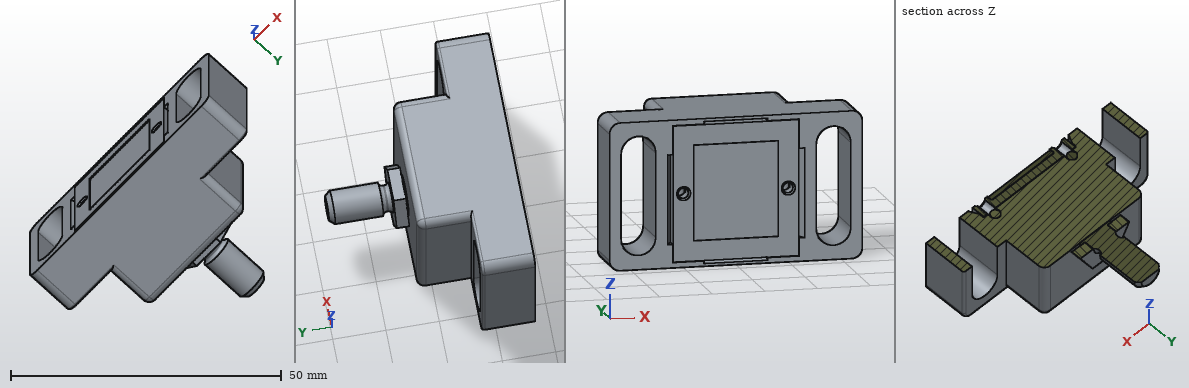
import cadquery as cq
import math


LENGTH = 48.0
HEIGHT = 28.0
FLANGE_DEPTH = 10.0
FLANGE_CORNER_RADIUS = 2.0
FLANGE_EDGE_RADIUS = 0.5
BLOCK_WIDTH = 26.0
BLOCK_BACK = 20.0
BLOCK_RADIUS = 1.5

SLOT_WIDTH = 6.55
SLOT_LENGTH = 22.5
SLOT_OFFSET = 18.55

PLATE_WIDTH = 23.9
PLATE_HEIGHT = 25.75
PLATE_THICKNESS = 3.0
SIDE_CLEARANCE = 0.05
END_CLEARANCE = 0.1
RECESS_WIDTH = PLATE_WIDTH + 2 * SIDE_CLEARANCE
RECESS_HEIGHT = PLATE_HEIGHT + 2 * END_CLEARANCE

NOTCH_DEPTH = 2.0
SIDE_NOTCH_SPAN = 26.0
SIDE_NOTCH_LENGTH = 17.0
SIDE_NOTCH_Z = -1.05
END_NOTCH_SPAN = 26.9
END_NOTCH_LENGTH = 12.1

INSERT_WIDTH = 16.05
INSERT_HEIGHT = 18.1
INSERT_THICKNESS = 0.95
INSERT_SETBACK = 0.2

PLATE_HOLE_RADIUS = 0.95
PLATE_HOLE_CHAMFER = 0.35
PIN_RADIUS = 1.0
PIN_LENGTH = 4.05
PIN_Y = PLATE_THICKNESS + PIN_RADIUS
HOLE_POSITIONS = (-9.95, 9.95)

NUT_FRONT = 20.4
NUT_BACK = 22.75
NUT_ACROSS_FLATS = 11.0

COLLAR_RADIUS = 4.1
COLLAR_FOOT_RADIUS = 3.8
SHANK_RADIUS = 2.9
GROOVE_RADIUS = 2.45
GROOVE_FRONT = 23.65
GROOVE_BACK = 23.85
THREAD_FRONT = 24.65
THREAD_RADIUS = 3.15
THREAD_CHAMFER = 1.0
STUD_TIP_RADIUS = 2.3
STUD_END = 34.7


def block(width, height, front, back):
    """Plain block centred on the Y axis."""
    return cq.Workplane("XY").box(width, back - front, height).translate((0, (front + back) / 2, 0))


def rounded_block(width, depth, corner_radius, back_radius):
    """Full-height block with rounded corners and a rounded rim at the back."""
    body = block(width, HEIGHT, 0, depth).edges("|Y").fillet(corner_radius)
    return body.faces(">Y").edges().fillet(back_radius)


def notch(plane, span, recess_span, length):
    """Wedge as wide as span at the front, narrowing to the recess; extruded both ways from plane."""
    return (
        plane
        .moveTo(-span / 2, 0)
        .lineTo(span / 2, 0)
        .lineTo(recess_span / 2, NOTCH_DEPTH)
        .lineTo(-recess_span / 2, NOTCH_DEPTH)
        .close()
        .extrude(length / 2, both=True)
    )


def make_notches():
    side_plane = cq.Workplane("XY", origin=(0, 0, SIDE_NOTCH_Z))
    end_plane = cq.Workplane(cq.Plane(origin=(0, 0, 0), xDir=(0, 0, 1), normal=(-1, 0, 0)))
    sides = notch(side_plane, SIDE_NOTCH_SPAN, RECESS_WIDTH, SIDE_NOTCH_LENGTH)
    ends = notch(end_plane, END_NOTCH_SPAN, RECESS_HEIGHT, END_NOTCH_LENGTH)
    return sides.union(ends)


def make_slots():
    return (
        cq.Workplane("XZ")
        .pushPoints([(-SLOT_OFFSET, 0), (SLOT_OFFSET, 0)])
        .slot2D(SLOT_LENGTH, SLOT_WIDTH, 90)
        .extrude(-FLANGE_DEPTH)
    )


def make_pin(x):
    """Round pin lying along Z, touching the back of the plate."""
    return (
        cq.Workplane("XY", origin=(x, PIN_Y, -PIN_LENGTH / 2))
        .circle(PIN_RADIUS)
        .extrude(PIN_LENGTH)
    )


def make_pin_groove(x):
    """U-shaped pocket in the recess floor that fits one pin."""
    mouth = block(2 * PIN_RADIUS, PIN_LENGTH, PLATE_THICKNESS, PIN_Y).translate((x, 0, 0))
    return make_pin(x).union(mouth)


def make_housing():
    flange = rounded_block(LENGTH, FLANGE_DEPTH, FLANGE_CORNER_RADIUS, FLANGE_EDGE_RADIUS)
    back_block = rounded_block(BLOCK_WIDTH, BLOCK_BACK, BLOCK_RADIUS, BLOCK_RADIUS)
    recess = block(RECESS_WIDTH, RECESS_HEIGHT, 0, PLATE_THICKNESS)
    body = flange.union(back_block).cut(make_slots()).cut(recess).cut(make_notches())
    for x in HOLE_POSITIONS:
        body = body.cut(make_pin_groove(x))
    return body


def make_plate_hole(x):
    """Through hole with a chamfered mouth at the front."""
    mouth_radius = PLATE_HOLE_RADIUS + PLATE_HOLE_CHAMFER
    return (
        cq.Workplane("XY")
        .moveTo(0, 0)
        .lineTo(mouth_radius, 0)
        .lineTo(PLATE_HOLE_RADIUS, PLATE_HOLE_CHAMFER)
        .lineTo(PLATE_HOLE_RADIUS, PLATE_THICKNESS)
        .lineTo(0, PLATE_THICKNESS)
        .close()
        .revolve(360, (0, 0, 0), (0, 1, 0))
        .translate((x, 0, 0))
    )


def make_plate():
    insert_pocket = block(INSERT_WIDTH, INSERT_HEIGHT, 0, INSERT_SETBACK + INSERT_THICKNESS)
    body = block(PLATE_WIDTH, PLATE_HEIGHT, 0, PLATE_THICKNESS).cut(insert_pocket)
    for x in HOLE_POSITIONS:
        body = body.cut(make_plate_hole(x))
    return body


def make_insert():
    return block(INSERT_WIDTH, INSERT_HEIGHT, INSERT_SETBACK, INSERT_SETBACK + INSERT_THICKNESS)


def make_nut():
    across_corners = NUT_ACROSS_FLATS / math.cos(math.pi / 6)
    return (
        cq.Workplane("XZ", origin=(0, NUT_FRONT, 0))
        .polygon(6, across_corners)
        .circle(SHANK_RADIUS)
        .extrude(NUT_FRONT - NUT_BACK)
    )


def blend_radius(outer_radius, axial_length):
    """Radius of the arc that leaves the groove floor tangentially and ends at outer_radius."""
    rise = outer_radius - GROOVE_RADIUS
    return (rise ** 2 + axial_length ** 2) / (2 * rise)


def make_stud():
    shank_blend = blend_radius(SHANK_RADIUS, GROOVE_FRONT - NUT_BACK)
    thread_blend = blend_radius(THREAD_RADIUS, THREAD_FRONT - GROOVE_BACK)
    return (
        cq.Workplane("XY")
        .moveTo(0, BLOCK_BACK)
        .lineTo(COLLAR_FOOT_RADIUS, BLOCK_BACK)
        .lineTo(COLLAR_RADIUS, NUT_FRONT)
        .lineTo(SHANK_RADIUS, NUT_FRONT)
        .lineTo(SHANK_RADIUS, NUT_BACK)
        .radiusArc((GROOVE_RADIUS, GROOVE_FRONT), shank_blend)
        .lineTo(GROOVE_RADIUS, GROOVE_BACK)
        .radiusArc((THREAD_RADIUS, THREAD_FRONT), thread_blend)
        .lineTo(THREAD_RADIUS, STUD_END - THREAD_CHAMFER)
        .lineTo(STUD_TIP_RADIUS, STUD_END)
        .lineTo(0, STUD_END)
        .close()
        .revolve(360, (0, 0, 0), (0, 1, 0))
    )


housing = make_housing()
plate = make_plate()
insert = make_insert()
nut = make_nut()
stud = make_stud()
pins = [make_pin(x).val() for x in HOLE_POSITIONS]

result = cq.Compound.makeCompound(
    [housing.val(), plate.val(), insert.val(), nut.val(), stud.val(), *pins]
)